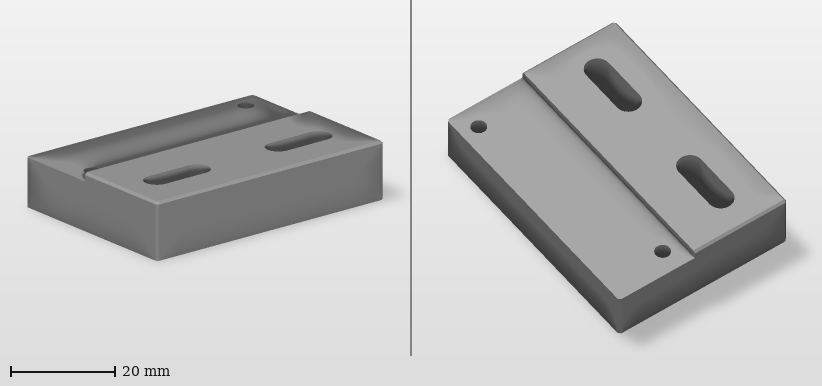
import cadquery as cq

width = 40.0
length = 56.0
height = 12.0

shelf_width = 18.0
shelf_drop = 1.8

edge_chamfer = 0.5

hole_diameter = 3.25
hole_end_distance = 5.0
back_hole_x = 4.0
front_hole_x = 14.0

slot_x = 30.0
slot_length = 15.3
slot_width = 5.3
slot_end_distance = 13.0


def make_block():
    """Rectangular block with a corner at the origin, its corners and top edges chamfered."""
    block = cq.Workplane("XY").box(width, length, height, centered=False)
    block = block.edges("|Z").chamfer(edge_chamfer)
    return block.faces(">Z").edges().chamfer(edge_chamfer)


def make_shelf_cut():
    """Material removed above the shelf, which also takes away its top chamfers."""
    return (
        cq.Workplane("XY")
        .box(shelf_width, length, shelf_drop, centered=False)
        .translate((0, 0, height - shelf_drop))
    )


def make_holes():
    centers = [(back_hole_x, length - hole_end_distance), (front_hole_x, hole_end_distance)]
    return cq.Workplane("XY").pushPoints(centers).circle(hole_diameter / 2).extrude(height)


def make_slots():
    centers = [(slot_x, slot_end_distance), (slot_x, length - slot_end_distance)]
    return cq.Workplane("XY").pushPoints(centers).slot2D(slot_length, slot_width, 90).extrude(height)


result = make_block().cut(make_shelf_cut()).cut(make_holes()).cut(make_slots())